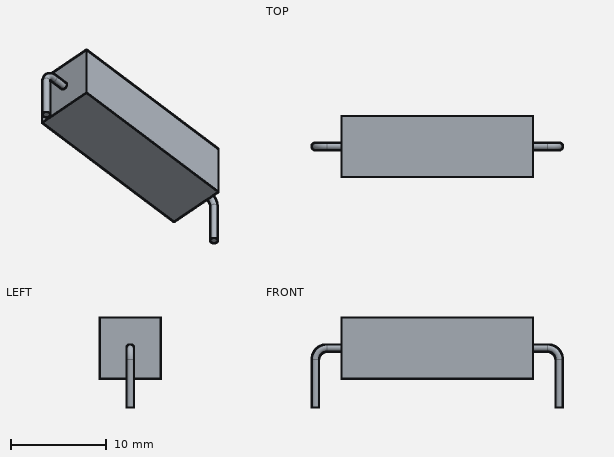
import cadquery as cq

body_length = 20.0
body_width = 6.4
body_height = 6.4

lead_diameter = 0.8
lead_pitch = 25.4
bend_radius = 1.2
leg_drop = 3.0

lead_axis_z = body_height / 2
leg_x = lead_pitch / 2
bend_start_x = leg_x - bend_radius
bend_end_z = lead_axis_z - bend_radius


def make_body():
    return cq.Workplane("XY").box(
        body_length, body_width, body_height, centered=(True, True, False)
    )


def make_lead():
    """Lead on the +X end: straight stub, quarter bend, vertical leg."""
    face_x = body_length / 2
    path = (
        cq.Workplane("XZ")
        .moveTo(face_x, lead_axis_z)
        .lineTo(bend_start_x, lead_axis_z)
        .tangentArcPoint((leg_x, bend_end_z), relative=False)
        .lineTo(leg_x, -leg_drop)
    )
    profile = cq.Workplane("YZ", origin=(face_x, 0, lead_axis_z)).circle(lead_diameter / 2)
    return profile.sweep(path)


right_lead = make_lead()
left_lead = right_lead.mirror("YZ")

result = make_body().union(right_lead).union(left_lead)